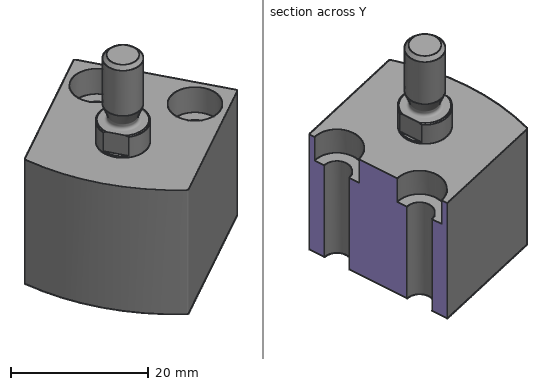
import cadquery as cq
import math

block_width = 25.0
block_length = 27.0
block_height = 23.0
front_radius = 37.05
corner_radius = 0.3
back_y = 0.0
half_width = block_width / 2
front_y = back_y - block_length
front_bow = front_radius - math.sqrt(front_radius**2 - half_width**2)

hole_spacing = 14.98
hole_y = back_y - 5.0
hole_diameter = 4.5
counterbore_diameter = 8.0
counterbore_depth = 4.68

stud_y = back_y - 16.5
stud_top = 39.0
collar_radius = 8.0 / 2
collar_height = 3.98
collar_chamfer = 0.2
flat_spacing = 7.0
flat_base_height = 0.3
neck_radius = 4.5 / 2
neck_fillet = 0.5
neck_top = 27.9
taper_blend_radius = 0.3
shank_radius = 6.0 / 2
shank_bottom = 30.0
tip_chamfer = 0.62
collar_top = block_height + collar_height


def make_block():
    """Extrude the bowed outline and drill the two mounting holes."""
    side_front_y = front_y + front_bow
    block = (
        cq.Workplane("XY")
        .moveTo(-half_width, back_y)
        .lineTo(-half_width, side_front_y)
        .threePointArc((0, front_y), (half_width, side_front_y))
        .lineTo(half_width, back_y)
        .close()
        .extrude(block_height)
        .edges("|Z")
        .fillet(corner_radius)
    )
    hole_centres = [(side * hole_spacing / 2, hole_y) for side in (-1, 1)]
    return (
        block.faces(">Z")
        .workplane(origin=(0, 0, block_height))
        .pushPoints(hole_centres)
        .cboreHole(hole_diameter, counterbore_diameter, counterbore_depth)
    )


def make_stud():
    """Revolve the stud profile about its axis, then mill the collar flats."""
    taper_angle = math.atan2(shank_radius - neck_radius, shank_bottom - neck_top)
    blend_length = taper_blend_radius * math.tan(taper_angle / 2)
    blend_end = (
        neck_radius + blend_length * math.sin(taper_angle),
        neck_top + blend_length * math.cos(taper_angle),
    )
    stud = (
        cq.Workplane("XZ")
        .moveTo(0, block_height)
        .lineTo(collar_radius, block_height)
        .lineTo(collar_radius, collar_top - collar_chamfer)
        .lineTo(collar_radius - collar_chamfer, collar_top)
        .lineTo(neck_radius + neck_fillet, collar_top)
        .radiusArc((neck_radius, collar_top + neck_fillet), neck_fillet)
        .lineTo(neck_radius, neck_top - blend_length)
        .tangentArcPoint(blend_end, relative=False)
        .lineTo(shank_radius, shank_bottom)
        .lineTo(shank_radius, stud_top - tip_chamfer)
        .lineTo(shank_radius - tip_chamfer, stud_top)
        .lineTo(0, stud_top)
        .close()
        .revolve(360, (0, 0, 0), (0, 1, 0))
    )
    flat_depth = collar_radius - flat_spacing / 2
    flat_height = collar_height - flat_base_height
    for side in (-1, 1):
        flat_cutter = cq.Workplane("XY").box(
            2 * collar_radius, 2 * flat_depth, flat_height, centered=(True, True, False)
        )
        flat_centre_y = side * (flat_spacing / 2 + flat_depth)
        stud = stud.cut(flat_cutter.translate((0, flat_centre_y, block_height + flat_base_height)))
    return stud.translate((0, stud_y, 0))


block = make_block()
stud = make_stud()

result = cq.Compound.makeCompound([block.val(), stud.val()])